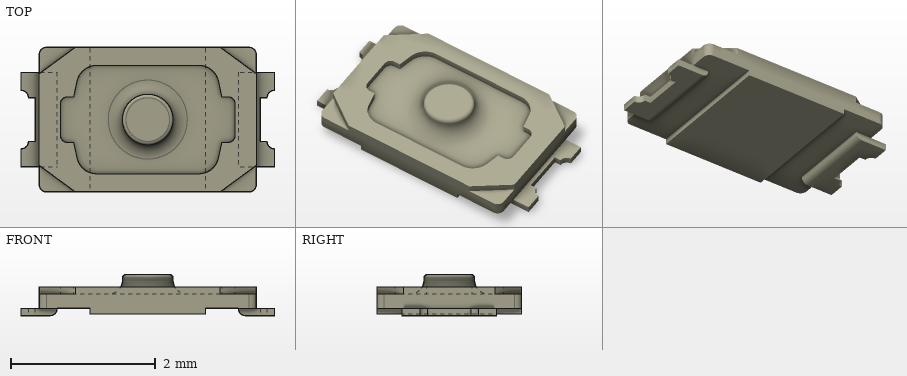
import cadquery as cq
import math

sheet = 0.1
overall_height = 0.57
body_bottom = sheet
body_top = 0.4
step_level = body_top - sheet
foot_bottom = 0.02

body_length = 3.0
body_width = 2.0
body_corner_radius = 0.1
step_length = 0.5
step_width = 0.368
foot_length = 1.595

overall_length = 3.5
terminal_length = 0.5
terminal_width = 1.305
terminal_toe_radius = 0.098
notch_width = 0.602
notch_depth = 0.195
notch_corner_radius = 0.1

recess_half_width = 0.75
recess_corner_radius = 0.28
recess_side_x = 1.022
recess_side_slope = 12
ear_half_length = 1.208
ear_half_width = 0.315
ear_corner_radius = 0.1

button_radius = 0.35
button_edge_radius = 0.05
button_base_radius = 0.545
button_flare_radius = button_base_radius - button_radius


def make_body():
    """Rounded block standing on a central foot."""
    height = body_top - body_bottom
    underside = cq.Workplane("XY").workplane(offset=body_bottom)
    block = underside.rect(body_length, body_width).extrude(height)
    block = block.edges("|Z").fillet(body_corner_radius)
    foot = (
        cq.Workplane("XY").workplane(offset=foot_bottom)
        .rect(foot_length, body_width).extrude(body_bottom - foot_bottom)
    )
    return block.union(foot)


def make_corner_step(x_side, y_side):
    """Triangular prism that lowers one top corner of the body."""
    corner_x = x_side * body_length / 2
    corner_y = y_side * body_width / 2
    corners = [
        (corner_x, corner_y),
        (corner_x - x_side * step_length, corner_y),
        (corner_x, corner_y - y_side * step_width),
    ]
    return cq.Workplane("XY").workplane(offset=step_level).polyline(corners).close().extrude(sheet)


def make_recess():
    """Six-sided pocket with leaning sides and a rounded ear at each end."""
    slope = math.tan(math.radians(recess_side_slope))
    corner_x = recess_side_x - (recess_half_width - ear_half_width) * slope
    waist_x = recess_side_x + ear_half_width * slope
    outline = [
        (-corner_x, recess_half_width),
        (corner_x, recess_half_width),
        (waist_x, 0),
        (corner_x, -recess_half_width),
        (-corner_x, -recess_half_width),
        (-waist_x, 0),
    ]
    floor = cq.Workplane("XY").workplane(offset=step_level)
    pocket = floor.polyline(outline).close().extrude(sheet)
    pocket = pocket.edges("|Z").edges(">Y or <Y").fillet(recess_corner_radius)
    ears = floor.rect(2 * ear_half_length, 2 * ear_half_width).extrude(sheet)
    ears = ears.edges("|Z").fillet(ear_corner_radius)
    return pocket.union(ears)


def make_button():
    """Revolved button that flares out onto the recess floor."""
    flare_top = step_level + button_flare_radius
    bend = math.sqrt(0.5)
    flare_middle = (
        button_base_radius - button_flare_radius * bend,
        flare_top - button_flare_radius * bend,
    )
    edge_middle = (
        button_radius - button_edge_radius * (1 - bend),
        overall_height - button_edge_radius * (1 - bend),
    )
    return (
        cq.Workplane("XZ")
        .moveTo(0, step_level)
        .lineTo(button_base_radius, step_level)
        .threePointArc(flare_middle, (button_radius, flare_top))
        .lineTo(button_radius, overall_height - button_edge_radius)
        .threePointArc(edge_middle, (button_radius - button_edge_radius, overall_height))
        .lineTo(0, overall_height)
        .close()
        .revolve(360, (0, 0), (0, 1))
    )


def make_terminal():
    """Terminal on the +X end, notched at its tip."""
    tip = overall_length / 2
    plate = cq.Workplane("XY").box(terminal_length, terminal_width, sheet, centered=(True, True, False))
    plate = plate.edges("<X and <Z").fillet(terminal_toe_radius)
    plate = plate.translate((tip - terminal_length / 2, 0, 0))
    notch = cq.Workplane("XY").center(tip, 0).rect(2 * notch_depth, notch_width).extrude(sheet)
    notch_corners = (
        cq.Workplane("XY")
        .pushPoints([(tip, notch_width / 2), (tip, -notch_width / 2)])
        .circle(notch_corner_radius).extrude(sheet)
    )
    return plate.cut(notch).cut(notch_corners)


result = make_body()
for x_side in (-1, 1):
    for y_side in (-1, 1):
        result = result.cut(make_corner_step(x_side, y_side))
result = result.cut(make_recess()).union(make_button())

right_terminal = make_terminal()
result = result.union(right_terminal).union(right_terminal.mirror("YZ"))